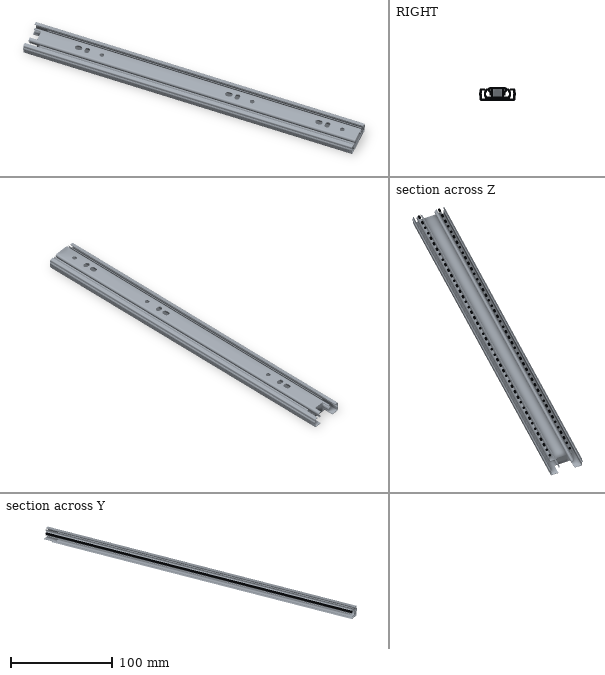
import cadquery as cq
import math

length = 350.0
sheet = 0.7

outer_half_width = 17.5
wall_half_width = 16.8
outer_height = 11.0
outer_corner = 1.0
lip_half_gap = 13.0
bulge_radius = 2.0
bulge_height = 6.3
floor_notch_half_width = 8.8

inner_start = 2.5
inner_top = 12.2
shoulder_radius = 2.0
inner_half_width = 8.8
groove_radius = 2.0
groove_direction = math.radians(-55)
inner_foot = 5.5

stop_x = 10.0
stop_half_width = 5.5
stop_bend_radius = 1.5

hole_group_starts = [52.0, 212.0, 308.0]
cross_slot_offset = 9.0
round_hole_offset = 25.0
long_slot_length = 7.5
long_slot_width = 5.5
cross_slot_length = 7.0
cross_slot_width = 5.0
round_hole_diameter = 4.5

retainer_start = 15.0
retainer_web = 2.0
cage_gap = 0.18
cage_half_width = lip_half_gap - cage_gap
cage_radius = 6.0
cage_height = inner_top / 2
retainer_top = 11.0


def polar(centre, radius, angle):
    """Point (y, z) on a circle."""
    return (centre[0] + radius * math.cos(angle), centre[1] + radius * math.sin(angle))


def extrude_both_halves(half_profile, start):
    """Extrude a +Y half profile from X = start to the rear end and join it to its mirror image."""
    half = half_profile.close().extrude(length - start)
    return half.union(half.mirror("XZ")).clean()


def profile_plane(start):
    return cq.Workplane("YZ", origin=(start, 0, 0))


def make_outer_rail():
    inner_corner = outer_corner - sheet
    diagonal = math.radians(45)
    bend_y = wall_half_width - outer_corner
    top_bend = (bend_y, outer_height - outer_corner)
    low_bend = (bend_y, outer_corner)
    inner_wall = wall_half_width - sheet

    bulge_centre_y = outer_half_width - bulge_radius
    bulge_inner_radius = bulge_radius - sheet
    half_chord = math.sqrt(bulge_radius**2 - (wall_half_width - bulge_centre_y) ** 2)
    inner_half_chord = math.sqrt(bulge_inner_radius**2 - (inner_wall - bulge_centre_y) ** 2)

    profile = (
        profile_plane(0)
        .moveTo(0, 0)
        .lineTo(bend_y, 0)
        .threePointArc(polar(low_bend, outer_corner, -diagonal), (wall_half_width, outer_corner))
        .lineTo(wall_half_width, bulge_height - half_chord)
        .threePointArc((outer_half_width, bulge_height), (wall_half_width, bulge_height + half_chord))
        .lineTo(wall_half_width, top_bend[1])
        .threePointArc(polar(top_bend, outer_corner, diagonal), (bend_y, outer_height))
        .lineTo(lip_half_gap, outer_height)
        .lineTo(lip_half_gap, outer_height - sheet)
        .lineTo(bend_y, outer_height - sheet)
        .threePointArc(polar(top_bend, inner_corner, diagonal), (inner_wall, top_bend[1]))
        .lineTo(inner_wall, bulge_height + inner_half_chord)
        .threePointArc(
            (outer_half_width - sheet, bulge_height),
            (inner_wall, bulge_height - inner_half_chord),
        )
        .lineTo(inner_wall, outer_corner)
        .threePointArc(polar(low_bend, inner_corner, -diagonal), (bend_y, sheet))
        .lineTo(0, sheet)
    )
    rail = extrude_both_halves(profile, 0)
    floor_notch = cq.Workplane("XY").box(
        stop_x, 2 * floor_notch_half_width, sheet, centered=(False, True, False)
    )
    return rail.cut(floor_notch)


def make_inner_section():
    """Flat web, rounded shoulders and a concave ball groove along each side."""
    shoulder = (inner_half_width - shoulder_radius, inner_top - shoulder_radius)
    groove = polar(shoulder, shoulder_radius + groove_radius, groove_direction)
    back_radius = groove_radius + sheet
    inner_shoulder_radius = shoulder_radius - sheet
    join_angle = groove_direction + math.pi
    foot_angle = math.pi + math.asin((groove[1] - inner_foot) / groove_radius)

    profile = (
        profile_plane(inner_start)
        .moveTo(0, inner_top)
        .lineTo(shoulder[0], inner_top)
        .threePointArc(
            polar(shoulder, shoulder_radius, 0),
            polar(shoulder, shoulder_radius, groove_direction),
        )
        .threePointArc(polar(groove, groove_radius, math.pi), polar(groove, groove_radius, foot_angle))
        .lineTo(*polar(groove, back_radius, foot_angle))
        .threePointArc(polar(groove, back_radius, math.pi), polar(groove, back_radius, join_angle))
        .threePointArc(
            polar(shoulder, inner_shoulder_radius, 0),
            (shoulder[0], inner_top - sheet),
        )
        .lineTo(0, inner_top - sheet)
    )
    return extrude_both_halves(profile, inner_start)


def make_stop_tab():
    underside = inner_top - sheet
    back = stop_x + sheet
    bend_centre = (back + stop_bend_radius, underside - stop_bend_radius)
    return (
        cq.Workplane("XZ", origin=(0, stop_half_width, 0))
        .moveTo(stop_x, sheet)
        .lineTo(stop_x, inner_top)
        .lineTo(bend_centre[0], inner_top)
        .lineTo(bend_centre[0], underside)
        .threePointArc(polar(bend_centre, stop_bend_radius, math.radians(135)), (back, bend_centre[1]))
        .lineTo(back, sheet)
        .close()
        .extrude(2 * stop_half_width)
    )


def cut_mounting_holes(rail):
    for start in hole_group_starts:
        web = cq.Workplane("XY", origin=(start, 0, inner_top))
        long_slot = web.slot2D(long_slot_length, long_slot_width).extrude(-sheet)
        cross_slot = (
            web.center(cross_slot_offset, 0)
            .slot2D(cross_slot_length, cross_slot_width, 90)
            .extrude(-sheet)
        )
        round_hole = (
            web.center(round_hole_offset, 0)
            .circle(round_hole_diameter / 2)
            .extrude(-sheet)
        )
        rail = rail.cut(long_slot).cut(cross_slot).cut(round_hole)
    return rail


def make_inner_rail():
    web_notch = cq.Workplane("XY", origin=(inner_start, 0, inner_top - sheet)).box(
        stop_x - inner_start, 2 * stop_half_width, sheet, centered=(False, True, False)
    )
    rail = make_inner_section().cut(web_notch).union(make_stop_tab())
    return cut_mounting_holes(rail)


def make_retainer():
    """Channel between the rails: flat web with a curved arm along each side."""
    centre = (cage_half_width - cage_radius, cage_height)
    inner_radius = cage_radius - sheet
    web_top = retainer_web + sheet
    tip_angle = math.asin((retainer_top - cage_height) / cage_radius)
    web_angle = math.asin((retainer_web - cage_height) / cage_radius)
    web_top_angle = math.asin((web_top - cage_height) / inner_radius)

    profile = (
        profile_plane(retainer_start)
        .moveTo(0, retainer_web)
        .lineTo(*polar(centre, cage_radius, web_angle))
        .threePointArc(polar(centre, cage_radius, 0), polar(centre, cage_radius, tip_angle))
        .lineTo(*polar(centre, inner_radius, tip_angle))
        .threePointArc(polar(centre, inner_radius, 0), polar(centre, inner_radius, web_top_angle))
        .lineTo(0, web_top)
    )
    return extrude_both_halves(profile, retainer_start)


outer_rail = make_outer_rail()
inner_rail = make_inner_rail()
retainer = make_retainer()

result = cq.Compound.makeCompound(
    [outer_rail.solids().val(), inner_rail.solids().val(), retainer.solids().val()]
)